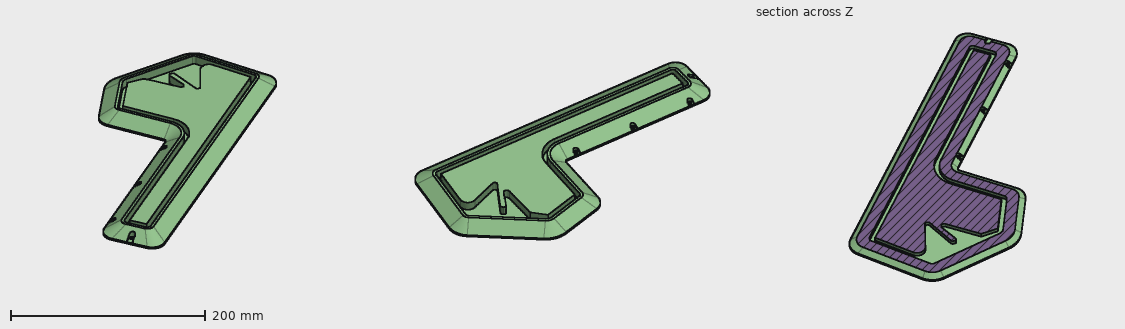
import cadquery as cq
import math

total_height = 12.0
base_height = 2.0
slope_inset = 16.0
rim_width = 3.0
channel_width = 5.0
floor_height = 2.0
island_top = 12.0

handle_width = 67.3
outer_corners = [
    (0, 0),
    (0, 330.5),
    (-101.5, 343.0),
    (-165.0, 258.2),
    (-145.0, 187.8),
    (-handle_width, 185.0),
    (-handle_width, 0),
]
base_radii = [14.0, 16.0, 22.2, 28.5, 15.0, 3.5, 14.0]
rim_radii = [7.0, 7.0, 7.0, 11.3, 7.0, 19.5, 7.0]

notch_corners = [
    (-88.8, 330.2),
    (-63.0, 265.7),
    (-100.5, 286.0),
    (-105.2, 281.5),
    (-72.0, 265.0),
    (-124.5, 265.0),
    (-158.8, 231.0),
    (-158.8, 330.2),
]
notch_radii = [0, 2.7, 2.5, 2.5, 3.0, 0, 0, 0]
island_corner = (-82.3, 315.2)
island_corner_radius = 9.0

seat_radius = 3.0
screw_hole_radius = 1.5
seat_edge_distance = 3.8
side_seat_first_y = 28.5
side_seat_pitch = 70.0
side_seat_count = 3
end_seat_x = -handle_width / 2
end_seat_y = 8.0


def unit_vector(start, end):
    length = math.dist(start, end)
    return (end[0] - start[0]) / length, (end[1] - start[1]) / length


def inset_corners(corners, inset):
    """Corners of a counter-clockwise polygon after every side moves inwards by the inset."""
    moved = []
    for index, (x, y) in enumerate(corners):
        before = unit_vector(corners[index - 1], corners[index])
        after = unit_vector(corners[index], corners[(index + 1) % len(corners)])
        scale = inset / (1 + before[0] * after[0] + before[1] * after[1])
        moved.append((x - (before[1] + after[1]) * scale, y + (before[0] + after[0]) * scale))
    return moved


def rounded_outline(corners, radii, height=0):
    """Closed outline through sharp corners, each rounded by a tangent arc; radius 0 stays sharp."""
    stretches = []
    for index, ((x, y), radius) in enumerate(zip(corners, radii)):
        if radius == 0:
            stretches.append([(x, y)])
            continue
        back = unit_vector(corners[index], corners[index - 1])
        ahead = unit_vector(corners[index], corners[(index + 1) % len(corners)])
        half_angle = math.acos(back[0] * ahead[0] + back[1] * ahead[1]) / 2
        tangent_length = radius / math.tan(half_angle)
        bisector = unit_vector((0, 0), (back[0] + ahead[0], back[1] + ahead[1]))
        middle_distance = radius / math.sin(half_angle) - radius
        stretches.append([
            (x + back[0] * tangent_length, y + back[1] * tangent_length),
            (x + bisector[0] * middle_distance, y + bisector[1] * middle_distance),
            (x + ahead[0] * tangent_length, y + ahead[1] * tangent_length),
        ])
    outline = cq.Workplane("XY", origin=(0, 0, height)).moveTo(*stretches[0][-1])
    for stretch in stretches[1:] + stretches[:1]:
        outline = outline.lineTo(*stretch[0])
        if len(stretch) == 3:
            outline = outline.threePointArc(*stretch[1:])
    return outline.close()


rim_corners = inset_corners(outer_corners, slope_inset)


def make_body():
    base = rounded_outline(outer_corners, base_radii).extrude(base_height)
    foot_wire = rounded_outline(outer_corners, base_radii, base_height).val()
    rim_wire = rounded_outline(rim_corners, rim_radii, total_height).val()
    slope = cq.Workplane(cq.Solid.makeLoft([foot_wire, rim_wire], ruled=True))
    return base.union(slope)


def inner_prism(inset, top):
    """Prism standing on the pocket floor, its outline moved inwards from the rim's outer edge."""
    outline = rounded_outline(rim_corners, rim_radii, floor_height).offset2D(-inset)
    return outline.extrude(top - floor_height)


def make_island():
    island = inner_prism(rim_width + channel_width, island_top)
    notch = rounded_outline(notch_corners, notch_radii).extrude(total_height)
    island = island.cut(notch)
    corner_edge = cq.selectors.NearestToPointSelector((*island_corner, (floor_height + island_top) / 2))
    return island.edges("|Z").edges(corner_edge).fillet(island_corner_radius)


def seat_cutter(x, y, edge_x, edge_y):
    """Round screw seat with a through hole and a channel running out over the edge."""
    seat = cq.Workplane("XY").center(x, y).circle(seat_radius).extrude(total_height)
    hole = cq.Workplane("XY").center(x, y).circle(screw_hole_radius).extrude(total_height)
    length_x = abs(edge_x - x) or 2 * seat_radius
    length_y = abs(edge_y - y) or 2 * seat_radius
    channel = (
        cq.Workplane("XY")
        .center((x + edge_x) / 2, (y + edge_y) / 2)
        .rect(length_x, length_y)
        .extrude(total_height)
    )
    return seat.union(channel).translate((0, 0, base_height)).union(hole)


result = make_body()
result = result.cut(inner_prism(rim_width, total_height))
result = result.union(make_island())

for index in range(side_seat_count):
    seat_y = side_seat_first_y + index * side_seat_pitch
    result = result.cut(seat_cutter(seat_edge_distance - handle_width, seat_y, -handle_width, seat_y))
result = result.cut(seat_cutter(end_seat_x, end_seat_y, end_seat_x, 0))